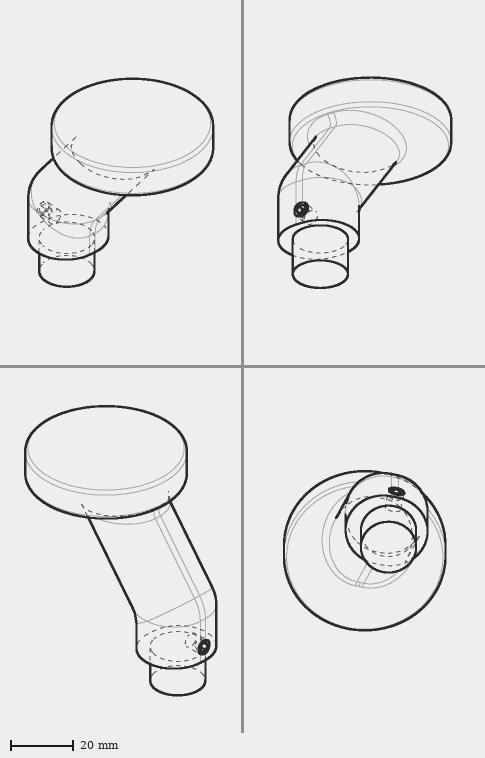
import cadquery as cq
import math

KNOB_DIA = 52.0
KNOB_OFFSET = 32.0
KNOB_TOP = 79.8
KNOB_MID = 68.9
DOME_RADIUS = 61.0
KNOB_EDGE_FILLET = 1.5

STEM_DEPTH = 24.1
STEM_FLAT = 2.3
STEM_BOTTOM = 13.0
ELBOW_HEIGHT = 28.8
ELBOW_FILLET = STEM_DEPTH / 2
NECK_FILLET = 3.0

SPIGOT_DIA = 17.8
SPIGOT_OFFSET = -0.6

SCREW_DIA = 5.0
SCREW_LENGTH = 6.0
SCREW_HEIGHT = 18.1
SCREW_RECESS = 0.15
HEX_ACROSS_FLATS = 3.0
HEX_DEPTH = 2.4

STEM_RADIUS = STEM_DEPTH / 2
STEM_WIDTH = STEM_DEPTH + STEM_FLAT
LEAN_RISE = KNOB_MID - ELBOW_HEIGHT
LEAN = math.degrees(math.atan2(KNOB_OFFSET, LEAN_RISE))
LEAN_LENGTH = math.hypot(KNOB_OFFSET, LEAN_RISE)
MITER = LEAN / 2
FILLET_SLOPE = (1 + ELBOW_FILLET / STEM_RADIUS) * math.tan(math.radians(MITER))


def dome_sag(radius):
    """Drop of a dome from its apex to the given radius."""
    return DOME_RADIUS - math.sqrt(DOME_RADIUS**2 - radius**2)


RIM_HALF_HEIGHT = KNOB_TOP - KNOB_MID - dome_sag(KNOB_DIA / 2)


def make_knob():
    radius = KNOB_DIA / 2
    half_height = KNOB_TOP - KNOB_MID
    dome_mid_sag = dome_sag(radius / 2)
    return (
        cq.Workplane("XZ")
        .moveTo(0, -half_height)
        .threePointArc((radius / 2, dome_mid_sag - half_height), (radius, -RIM_HALF_HEIGHT))
        .lineTo(radius, RIM_HALF_HEIGHT)
        .threePointArc((radius / 2, half_height - dome_mid_sag), (0, half_height))
        .close()
        .revolve(360, (0, 0), (0, 1))
        .faces("%CYLINDER")
        .edges("%CIRCLE")
        .fillet(KNOB_EDGE_FILLET)
        .translate((KNOB_OFFSET, 0, KNOB_MID))
    )


def tilt(shape, angle):
    """Turn a shape about the elbow's Y axis, leaning +Z towards +X."""
    return shape.rotate((0, 0, 0), (0, 1, 0), angle)


def make_stem_bar(length):
    """Bar rising from the elbow: level start on the outer side, sloping start on the inner side."""
    slope_end = FILLET_SLOPE * STEM_WIDTH
    corners = [
        (-STEM_WIDTH, 0),
        (0, 0),
        (STEM_WIDTH, slope_end),
        (STEM_WIDTH, length),
        (-STEM_WIDTH, length),
    ]
    side_block = (
        cq.Workplane("XZ")
        .polyline(corners)
        .close()
        .extrude(STEM_WIDTH, both=True)
    )
    return cq.Workplane("XY").slot2D(STEM_WIDTH, STEM_DEPTH, 90).extrude(length).intersect(side_block)


def make_outer_elbow():
    """Outer half of the stem section turned about the elbow's Y axis."""
    half_width = STEM_WIDTH / 2
    half_flat = STEM_FLAT / 2
    diagonal = STEM_RADIUS * math.sqrt(0.5)
    return (
        cq.Workplane("XY")
        .moveTo(0, -half_width)
        .threePointArc((-diagonal, -half_flat - diagonal), (-STEM_RADIUS, -half_flat))
        .lineTo(-STEM_RADIUS, half_flat)
        .threePointArc((-diagonal, half_flat + diagonal), (0, half_width))
        .close()
        .revolve(LEAN, (0, 0), (0, 1))
    )


def half_slot(end, stretch):
    """Open +X half of a slot outline whose rounded ends are stretched along X."""
    half_flat = STEM_FLAT / 2
    return (
        cq.Workplane("XY")
        .moveTo(0, -end)
        .ellipseArc(stretch, end - half_flat, -90, 0, startAtCurrent=True)
        .lineTo(stretch, half_flat)
        .ellipseArc(stretch, end - half_flat, 0, 90, startAtCurrent=True)
    )


def make_inner_elbow():
    """Inner wedge of the elbow, hollowed by the round fillet between the two bars."""
    reach = STEM_RADIUS + ELBOW_FILLET
    end = reach + STEM_FLAT / 2
    stretch = reach / math.cos(math.radians(MITER))
    groove = cq.Workplane("YZ").center(-end, 0).circle(ELBOW_FILLET).sweep(half_slot(end, stretch))
    rise = stretch * math.tan(math.atan(FILLET_SLOPE) - math.radians(MITER))
    wedge = (
        cq.Workplane("XZ").polyline([(0, 0), (stretch, rise), (stretch, -rise)]).close().extrude(end, both=True)
    )
    core = half_slot(end, stretch).close().extrude(rise, both=True)
    return tilt(wedge.intersect(core).cut(groove), MITER)


def make_stem():
    lower = make_stem_bar(ELBOW_HEIGHT - STEM_BOTTOM).mirror("XY")
    upper = tilt(make_stem_bar(LEAN_LENGTH), LEAN)
    elbow = make_outer_elbow().union(make_inner_elbow())
    return lower.union(elbow).union(upper).translate((0, 0, ELBOW_HEIGHT))


def add_neck_fillet(handle):
    """Round the corner between the leaning stem and the knob's lower dome."""
    knob_bottom = 2 * KNOB_MID - KNOB_TOP
    knob_rim = KNOB_MID - RIM_HALF_HEIGHT
    corner = cq.selectors.BoxSelector(
        (0, -STEM_WIDTH, knob_bottom),
        (KNOB_OFFSET + STEM_RADIUS, STEM_WIDTH, knob_rim - KNOB_EDGE_FILLET),
    )
    return handle.edges(corner).fillet(NECK_FILLET)


def make_spigot():
    return (
        cq.Workplane("XY")
        .center(0, SPIGOT_OFFSET)
        .circle(SPIGOT_DIA / 2)
        .extrude(STEM_BOTTOM)
    )


def screw_axis_plane(x):
    """Plane on the screw's axis at the given X, facing into the stem along +X."""
    return cq.Workplane("YZ", origin=(x, SPIGOT_OFFSET, SCREW_HEIGHT))


def make_handle():
    handle = add_neck_fillet(make_knob().union(make_stem())).union(make_spigot())
    screw_hole = screw_axis_plane(-STEM_RADIUS).circle(SCREW_DIA / 2).extrude(SCREW_RECESS + SCREW_LENGTH)
    return handle.cut(screw_hole)


def make_set_screw():
    outer_end = screw_axis_plane(SCREW_RECESS - STEM_RADIUS)
    across_corners = HEX_ACROSS_FLATS / math.cos(math.radians(30))
    socket = outer_end.polygon(6, across_corners).extrude(HEX_DEPTH)
    return outer_end.circle(SCREW_DIA / 2).extrude(SCREW_LENGTH).cut(socket)


handle = make_handle()
set_screw = make_set_screw()
result = cq.Compound.makeCompound([handle.val(), set_screw.val()])